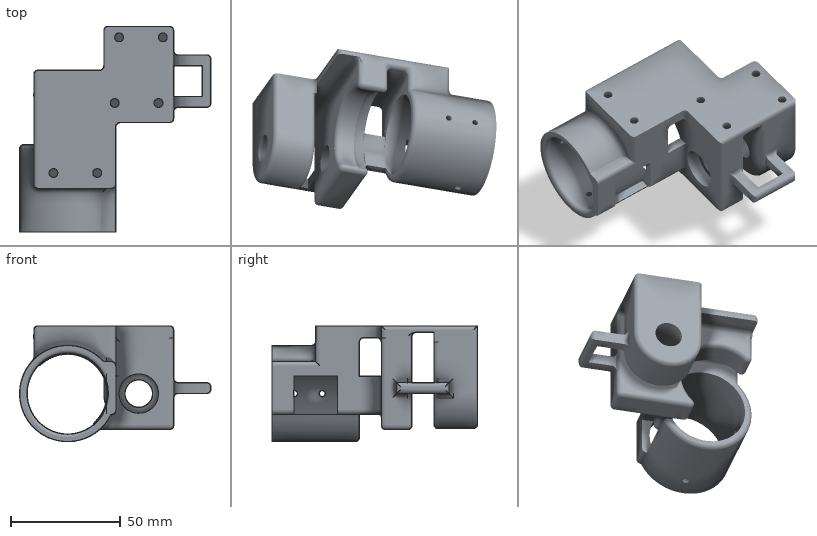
import cadquery as cq
import math

edge_radius = 2.0
top_z = 31.0
margin = 1.0
near = 0.1

tube_radius = 22.0
tube_bore_radius = 18.5
tube_length = 40.0
mouth_radius = 1.5
pin_hole_diameter = 2.7
pin_hole_ys = (10.3, 23.0)
floor_hole_diameter = 3.0
floor_hole_x = 1.4

pad_inner_x = 17.85
pad_outer_x = tube_radius
pad_top_z = 14.6
pad_bottom_z = -9.5
window_start_y = 10.0
window_end_y = 30.0
window_top_z = 8.0
bridge_flare = 1.15
bridge_foot_x = 15.9
bridge_middle_x = 18.6
bridge_flat = 0.7

plate_left_x = -15.5
plate_front_y = 20.0
leg_front_y = 50.0
leg_back_y = 64.0
rear_front_y = 74.0
rear_back_y = 94.0
block_right_x = 48.5
rear_left_x = 16.5
front_gap_ceiling_z = 25.5
rear_gap_ceiling_z = 28.0
corner_web_bottom_z = front_gap_ceiling_z - edge_radius
gap_x_range = (plate_left_x - margin, block_right_x + margin)

block_bottom_z = 12.0
web_block_right_x = 20.5

leg_bottom_z = -16.5
saddle_radius = 18.0
saddle_step_radius = 18.6
saddle_step_depth = 5.0

shaft_x = (rear_left_x + block_right_x) / 2
shaft_bore_radius = 6.25
rear_round_radius = (block_right_x - rear_left_x) / 2
leg_hole_radius = 9.0
bush_radius = 13.0
bush_length = 8.0
bush_front_y = leg_back_y - bush_length

loop_end_x = 65.5
loop_front_y = 57.0
loop_back_y = 81.0
loop_height = 5.0
loop_arm_width = 5.0
loop_end_width = 4.0
loop_root_depth = 0.25

screw_hole_diameter = 4.0
screw_hole_depth = 10.0
screw_hole_spacing = 20.0
screw_row_starts = ((23.5, 89.0), (21.5, 59.0), (-6.5, 27.0))


def box(x0, x1, y0, y1, z0, z1):
    return cq.Workplane("XY").box(x1 - x0, y1 - y0, z1 - z0, centered=False).translate((x0, y0, z0))


def rod(x, radius, y0, y1):
    """Cylinder along Y at height Z = 0."""
    return cq.Workplane("XZ", origin=(x, y0, 0)).circle(radius).extrude(y0 - y1)


def edges_in(body, x_range, y_range, z_range):
    """Edges whose middle lies in the given box."""
    low, high = zip(x_range, y_range, z_range)
    return body.edges(cq.selectors.BoxSelector(low, high))


def around(value):
    return (value - near, value + near)


def make_plate():
    """Stepped plate with rounded corners, thick enough to hold the web in its back step."""
    outline = [
        (plate_left_x, plate_front_y),
        (pad_outer_x, plate_front_y),
        (pad_outer_x, leg_front_y),
        (block_right_x, leg_front_y),
        (block_right_x, rear_back_y),
        (rear_left_x, rear_back_y),
        (rear_left_x, rear_front_y),
        (plate_left_x, rear_front_y),
    ]
    plate = cq.Workplane("XY", origin=(0, 0, corner_web_bottom_z)).polyline(outline).close()
    plate = plate.extrude(top_z - corner_web_bottom_z).edges("|Z").fillet(edge_radius)
    slab = box(plate_left_x, block_right_x, 0, rear_back_y, 0, top_z)
    plate = plate.intersect(slab.edges("|Y and >Z").fillet(edge_radius))
    front_gap = box(*gap_x_range, tube_length, leg_front_y, 0, front_gap_ceiling_z)
    rear_gap = box(*gap_x_range, leg_back_y, rear_front_y, 0, rear_gap_ceiling_z)
    return plate.cut(front_gap).cut(rear_gap)


def make_front_block():
    """Block between the plate and the tube; its underside lies inside the tube wall."""
    block = box(plate_left_x, pad_outer_x, plate_front_y, tube_length, block_bottom_z, front_gap_ceiling_z)
    return block.edges("|Z and <Y").fillet(edge_radius)


def make_block_web():
    """Concave web between the tube's outside and the left and front faces of the block above it."""
    web_back_y = tube_length - edge_radius
    block = box(plate_left_x, web_block_right_x, plate_front_y, web_back_y, 0, front_gap_ceiling_z)
    block = block.edges("|Z and <Y").fillet(edge_radius)
    joined = block.union(rod(0, tube_radius, 0, web_back_y))
    foot_x = (plate_left_x - near, web_block_right_x + near)
    foot_y = (plate_front_y - near, web_back_y - near)
    foot_z = (edge_radius, tube_radius + near)
    joined = edges_in(joined, foot_x, foot_y, foot_z).fillet(edge_radius)
    web_front_y = plate_front_y - edge_radius
    return joined.intersect(
        box(-tube_radius, pad_inner_x, web_front_y, web_back_y, pad_top_z, front_gap_ceiling_z)
    )


def make_leg():
    """Upright slab with a round saddle on the tube axis and nothing below the saddle's left half."""
    leg = box(plate_left_x, block_right_x, leg_front_y, leg_back_y, leg_bottom_z, front_gap_ceiling_z)
    leg = leg.cut(rod(0, saddle_radius, leg_front_y, leg_back_y))
    return leg.cut(box(plate_left_x, 0, leg_front_y, leg_back_y, leg_bottom_z, 0))


def round_frame(frame):
    """Round the leg, the left rim of the front gap and the gap ceilings."""
    full_x = (plate_left_x - near, block_right_x + near)
    inner_x = (plate_left_x + near, block_right_x + near)
    leg_y = (leg_front_y - near, leg_back_y + near)
    left_rim_y = (tube_length - near, leg_back_y + near)
    leg_edges = edges_in(frame, full_x, leg_y, (leg_bottom_z - near, corner_web_bottom_z))
    left_rim = edges_in(frame, around(plate_left_x), left_rim_y, (0, rear_gap_ceiling_z + near))
    frame = leg_edges.add(left_rim).fillet(edge_radius)
    for y, ceiling_z in (
        (leg_front_y, front_gap_ceiling_z),
        (tube_length, front_gap_ceiling_z),
        (leg_back_y, rear_gap_ceiling_z),
    ):
        frame = edges_in(frame, inner_x, around(y), around(ceiling_z)).fillet(edge_radius)
    return frame


def make_rear_block():
    """Upright block with a half-round foot on the shaft line."""
    block = box(rear_left_x, block_right_x, rear_front_y, rear_back_y, 0, top_z)
    block = block.union(rod(shaft_x, rear_round_radius, rear_front_y, rear_back_y))
    block = block.faces("<Y or >Y").edges("not >Z").fillet(edge_radius)
    slab = box(rear_left_x, block_right_x, rear_front_y, rear_back_y, -rear_round_radius, top_z)
    return block.intersect(slab.edges("|Y and >Z and >X").fillet(edge_radius))


def make_tube():
    """Plain tube, rounded outside at the back and inside at the mouth."""
    tube = rod(0, tube_radius, 0, tube_length).faces(">Y").edges().fillet(edge_radius)
    tube = tube.cut(rod(0, tube_bore_radius, 0, tube_length))
    return tube.faces("<Y").edges(cq.selectors.RadiusNthSelector(0)).fillet(mouth_radius)


def make_pad():
    """Flat pad along the tube, reaching past the bore's edge."""
    pad = box(pad_inner_x, pad_outer_x, 0, tube_length, pad_bottom_z, pad_top_z)
    pad = pad.edges("|Y and >X").fillet(edge_radius)
    return pad.cut(rod(0, tube_bore_radius, 0, tube_length))


def make_pad_web():
    """Concave web between the tube and the pad's top."""
    centre_z = pad_top_z + edge_radius
    reach = tube_radius + edge_radius
    centre_x = math.sqrt(reach**2 - centre_z**2)
    contact_x = centre_x * tube_radius / reach
    contact_z = centre_z * tube_radius / reach
    web = cq.Workplane("XZ").moveTo(contact_x, contact_z).lineTo(contact_x, pad_top_z - edge_radius)
    web = web.lineTo(pad_outer_x - edge_radius, pad_top_z - edge_radius)
    web = web.lineTo(pad_outer_x - edge_radius, pad_top_z).lineTo(centre_x, pad_top_z).close()
    web = web.extrude(-tube_length)
    return web.cut(rod(centre_x, edge_radius, 0, tube_length).translate((0, 0, centre_z)))


def make_bridge():
    """Strip carrying the pad on to the leg, with a hollow, three-faced inner side."""
    start_y = tube_length - edge_radius
    end_y = leg_front_y + edge_radius
    profile = cq.Workplane("XZ", origin=(0, start_y, 0))
    profile = profile.moveTo(pad_inner_x, window_top_z).lineTo(pad_outer_x, window_top_z)
    profile = profile.lineTo(pad_outer_x, pad_bottom_z).lineTo(bridge_foot_x, pad_bottom_z)
    profile = profile.lineTo(bridge_middle_x, -bridge_flat / 2).lineTo(bridge_middle_x, bridge_flat / 2).close()
    bridge = profile.extrude(start_y - end_y)
    return bridge.edges("|Y and >X and <Z").fillet(edge_radius)


def make_loop():
    """Flat rectangular loop whose two arms flare into the leg and the rear block."""
    inner_front_y = loop_front_y + loop_arm_width
    inner_back_y = loop_back_y - loop_arm_width
    root_x = block_right_x - edge_radius
    loop = box(root_x, loop_end_x, loop_front_y, loop_back_y, 0, loop_height)
    loop = loop.faces(">X").edges().fillet(edge_radius)
    opening_end_x = loop_end_x - loop_end_width
    loop = loop.cut(box(root_x, opening_end_x, inner_front_y, inner_back_y, 0, loop_height))
    wall_z = (-2 * edge_radius, loop_height + 2 * edge_radius)
    wall_front = box(root_x, block_right_x, loop_front_y - 2 * edge_radius, inner_front_y, *wall_z)
    wall_back = box(root_x, block_right_x, inner_back_y, loop_back_y + 2 * edge_radius, *wall_z)
    arms = loop.union(wall_front).union(wall_back)
    front_root = (loop_front_y - near, inner_front_y - near)
    back_root = (inner_back_y + near, loop_back_y + near)
    for root_y in (front_root, back_root):
        roots = edges_in(arms, around(block_right_x), root_y, (-near, loop_height + near))
        arms = roots.fillet(edge_radius)
    kept_x = (block_right_x - loop_root_depth, loop_end_x)
    kept_y = (loop_front_y - edge_radius, loop_back_y + edge_radius)
    kept_z = (-edge_radius, loop_height + edge_radius)
    return arms.intersect(box(*kept_x, *kept_y, *kept_z))


def make_screw_holes():
    """Three rows of two blind holes from the top face."""
    centres = []
    for x, y in screw_row_starts:
        centres += [(x, y), (x + screw_hole_spacing, y)]
    holes = cq.Workplane("XY", origin=(0, 0, top_z)).pushPoints(centres)
    return holes.circle(screw_hole_diameter / 2).extrude(-screw_hole_depth)


def make_pin_holes():
    """Two small holes through the tube's left wall."""
    holes = cq.Workplane("YZ", origin=(-tube_radius, 0, 0)).pushPoints([(y, 0) for y in pin_hole_ys])
    return holes.circle(pin_hole_diameter / 2).extrude(tube_radius)


def make_floor_hole():
    """Hole through the tube's floor, level with the first pin hole."""
    hole = cq.Workplane("XY", origin=(floor_hole_x, pin_hole_ys[0], -tube_radius))
    return hole.circle(floor_hole_diameter / 2).extrude(tube_radius)


def make_window():
    """Opening through the pad and the tube wall behind it."""
    window_x = (bridge_foot_x, tube_radius + margin)
    return box(*window_x, window_start_y, window_end_y, pad_bottom_z, window_top_z)


def make_bush_seat():
    """Space filled by the bush, bore included."""
    return rod(shaft_x, bush_radius, bush_front_y, leg_back_y)


def make_housing():
    frame = make_plate().union(make_front_block()).union(make_leg()).clean()
    body = round_frame(frame).union(make_block_web()).union(make_rear_block())
    body = body.union(make_tube()).union(make_pad()).union(make_pad_web()).union(make_bridge())

    bridge_z = (pad_bottom_z, window_top_z)
    body = edges_in(body, around(pad_outer_x), around(leg_front_y), bridge_z).fillet(bridge_flare)
    body = body.union(make_loop())

    body = body.cut(rod(0, tube_bore_radius, mouth_radius, tube_length))
    body = body.cut(make_window()).cut(make_pin_holes()).cut(make_floor_hole())

    body = body.cut(rod(0, saddle_step_radius, leg_front_y, leg_front_y + saddle_step_depth))

    body = body.cut(rod(shaft_x, leg_hole_radius, leg_front_y, leg_back_y)).cut(make_bush_seat())
    body = body.cut(rod(shaft_x, shaft_bore_radius, rear_front_y, rear_back_y))
    return body.cut(make_screw_holes())


def make_bush():
    """Ring seated in the back of the leg on the shaft line."""
    return make_bush_seat().cut(rod(shaft_x, shaft_bore_radius, bush_front_y, leg_back_y))


housing = make_housing()
bush = make_bush()
result = cq.Compound.makeCompound([housing.val(), bush.val()])